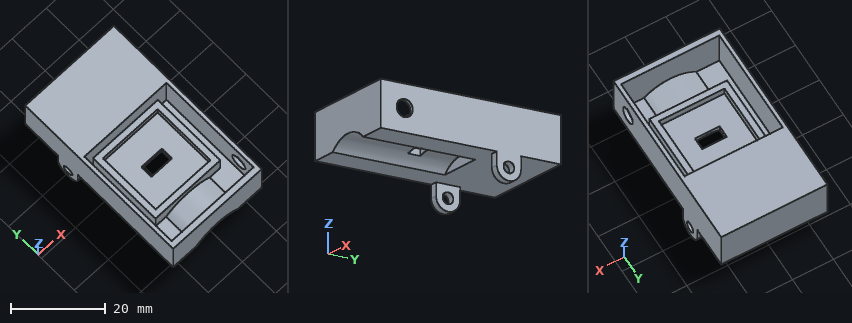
import cadquery as cq

width = 26.0
length = 45.0
body_height = 11.0
center_x = width / 2

side_wall = 1.0
front_wall = 1.5
floor_thickness = 1.0
pocket_back = 28.0
pocket_width = width - 2 * side_wall
pocket_length = pocket_back - front_wall

seat_size = 19.0
rim_thickness = 1.5
seat_floor = 3.5
seat_top = 5.5
recess_size = seat_size - 2 * rim_thickness
seat_center_y = pocket_back - seat_size / 2

window_width = 6.0
window_length = 3.0

lug_thickness = 2.0
lug_radius = 3.0
lug_drop = 6.05
lug_hole_diameter = 2.6
lug_center_y = 32.0
lug_center_z = lug_radius - lug_drop

channel_radius = 8.5
shell_thickness = 1.0
channel_axis_z = -lug_drop

cable_hole_diameter = 4.0
cable_hole_y = 6.0
cable_hole_z = body_height / 2


def box(size_x, size_y, bottom, top, center_y):
    """Block centered across the width, between two heights."""
    block = cq.Workplane("XY").box(size_x, size_y, top - bottom, centered=(True, True, False))
    return block.translate((center_x, center_y, bottom))


def cylinder_along_y(radius, y_start, y_end):
    """Cylinder on the channel axis."""
    circle = cq.Workplane("XZ").center(center_x, channel_axis_z).circle(radius)
    return circle.extrude(y_start - y_end).translate((0, y_start, 0))


def cylinder_along_x(diameter, x_start, x_end, y, z):
    circle = cq.Workplane("YZ", origin=(x_start, y, z)).circle(diameter / 2)
    return circle.extrude(x_end - x_start)


def make_lug(x_start):
    """Plate with a rounded lower end, hanging from the body."""
    outline = (
        cq.Workplane("YZ", origin=(x_start, lug_center_y, 0))
        .moveTo(-lug_radius, 0)
        .lineTo(-lug_radius, lug_center_z)
        .threePointArc((0, -lug_drop), (lug_radius, lug_center_z))
        .lineTo(lug_radius, 0)
        .close()
    )
    return outline.extrude(lug_thickness)


body_block = box(width, length, 0, body_height, length / 2)
pocket_center_y = front_wall + pocket_length / 2
result = body_block.cut(box(pocket_width, pocket_length, floor_thickness, body_height, pocket_center_y))

channel_shell = cylinder_along_y(channel_radius + shell_thickness, front_wall, pocket_back)
result = result.union(channel_shell.intersect(body_block))
result = result.union(box(seat_size, seat_size, 0, seat_top, seat_center_y))
result = result.cut(box(recess_size, recess_size, seat_floor, seat_top, seat_center_y))

result = result.cut(cylinder_along_y(channel_radius, 0, pocket_back))
result = result.cut(box(window_width, window_length, 0, seat_floor, seat_center_y))

for lug_x in (0, width - lug_thickness):
    result = result.union(make_lug(lug_x))
result = result.cut(cylinder_along_x(lug_hole_diameter, 0, width, lug_center_y, lug_center_z))

result = result.cut(
    cylinder_along_x(cable_hole_diameter, width - side_wall, width, cable_hole_y, cable_hole_z)
)